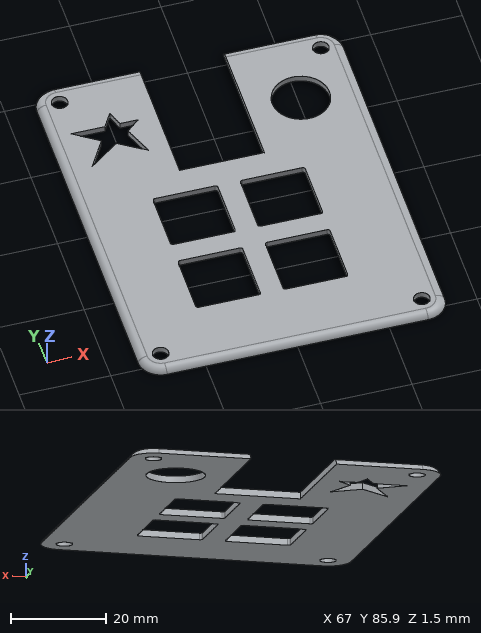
import cadquery as cq

width = 67.0
length = 85.9
thickness = 1.5
corner_radius = 5.0

rim_radius = 2.15
rim_width = (rim_radius**2 - (rim_radius - thickness) ** 2) ** 0.5
rim_overhang = rim_radius - rim_width

screw_diameter = 3.4
screw_x = width / 2 - corner_radius
screw_y = length / 2 - corner_radius

notch_width = 18.5
notch_center_x = -0.6
notch_bottom_y = 12.0

round_diameter = 12.45
round_center = (20.45, 25.2)

key_width = 14.1
key_corner_radius = 0.5
key_center_xs = (-10.6, 8.5)
upper_key_length = 13.8
upper_key_center_y = -1.4
lower_key_length = 14.1
lower_key_center_y = -20.3

star_shoulder_y = 28.5
star_points = [
    (-19.3, 32.0),
    (-18.1, star_shoulder_y),
    (-14.2, star_shoulder_y),
    (-17.1, 26.0),
    (-14.5, 19.4),
    (-20.45, 23.3),
    (-27.15, 18.2),
    (-23.2, 24.8),
    (-28.8, star_shoulder_y),
    (-21.4, star_shoulder_y),
]


def make_plate():
    """Fillet a deeper block, then keep its top slice to get the partial-arc rim."""
    block_depth = 2 * rim_radius
    block = (
        cq.Workplane("XY")
        .workplane(offset=thickness - block_depth)
        .rect(width + 2 * rim_overhang, length + 2 * rim_overhang)
        .extrude(block_depth)
        .edges("|Z")
        .fillet(corner_radius + rim_overhang)
        .faces(">Z")
        .edges()
        .fillet(rim_radius)
    )
    slice_box = cq.Workplane("XY").box(
        2 * width, 2 * length, thickness, centered=(True, True, False)
    )
    return block.intersect(slice_box)


def make_screw_holes():
    return (
        cq.Workplane("XY")
        .rect(2 * screw_x, 2 * screw_y, forConstruction=True)
        .vertices()
        .circle(screw_diameter / 2)
        .extrude(thickness)
    )


def make_notch():
    notch_length = 2 * (length / 2 - notch_bottom_y)
    return (
        cq.Workplane("XY")
        .center(notch_center_x, length / 2)
        .rect(notch_width, notch_length)
        .extrude(thickness)
    )


def make_key_row(center_y, key_length):
    return (
        cq.Workplane("XY")
        .pushPoints([(x, center_y) for x in key_center_xs])
        .rect(key_width, key_length)
        .extrude(thickness)
        .edges("|Z")
        .fillet(key_corner_radius)
    )


def make_round_opening():
    return cq.Workplane("XY").center(*round_center).circle(round_diameter / 2).extrude(thickness)


def make_star():
    return cq.Workplane("XY").polyline(star_points).close().extrude(thickness)


result = (
    make_plate()
    .cut(make_screw_holes())
    .cut(make_notch())
    .cut(make_round_opening())
    .cut(make_star())
    .cut(make_key_row(upper_key_center_y, upper_key_length))
    .cut(make_key_row(lower_key_center_y, lower_key_length))
)